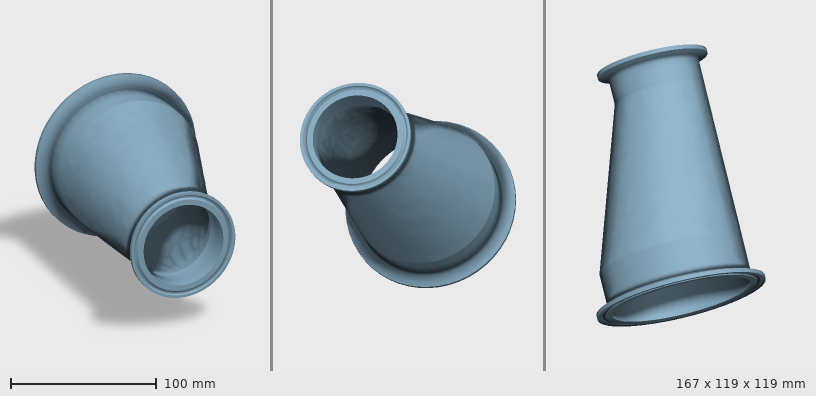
import cadquery as cq
import math

length = 167.0
wall = 2.0

large_tube_radius = 101.5 / 2
large_flange_radius = 119.0 / 2
large_groove_radius = 54.8
large_end_length = 30.0

small_tube_radius = 63.5 / 2
small_flange_radius = 77.5 / 2
small_groove_radius = 35.2
small_end_length = 23.0

small_axis_y = small_tube_radius - large_tube_radius

rim_thickness = 2.8
flange_angle = math.radians(20)
neck_fillet = 2.0
groove_half_width = 1.3
groove_depth = 1.3
groove_lip_fillet = 0.5


def flanged_end(tube_radius, flange_radius, groove_radius, end_length):
    """Flanged tube with its sealing face at X = 0 and its axis on X."""
    bore_radius = tube_radius - wall
    groove_inner = groove_radius - groove_half_width
    groove_outer = groove_radius + groove_half_width

    fillet_sweep = math.pi / 2 - flange_angle
    fillet_start_radius = tube_radius + neck_fillet * (1 - math.cos(fillet_sweep))
    fillet_start_x = rim_thickness + (flange_radius - fillet_start_radius) * math.tan(flange_angle)
    fillet_end_x = fillet_start_x + neck_fillet * math.sin(fillet_sweep)
    fillet_mid_x = fillet_end_x - neck_fillet * math.sin(fillet_sweep / 2)
    fillet_mid_radius = tube_radius + neck_fillet * (1 - math.cos(fillet_sweep / 2))

    profile = (
        cq.Workplane("XY")
        .moveTo(0, bore_radius)
        .lineTo(0, groove_inner)
        .threePointArc((groove_depth, groove_radius), (0, groove_outer))
        .lineTo(0, flange_radius)
        .lineTo(rim_thickness, flange_radius)
        .lineTo(fillet_start_x, fillet_start_radius)
        .threePointArc((fillet_mid_x, fillet_mid_radius), (fillet_end_x, tube_radius))
        .lineTo(end_length, tube_radius)
        .lineTo(end_length, bore_radius)
        .close()
    )
    body = profile.revolve(360, (0, 0, 0), (1, 0, 0))

    lips = [
        edge for edge in body.faces("<X").edges("%CIRCLE").vals()
        if abs(edge.radius() - groove_radius) < 2 * groove_half_width
    ]
    return body.newObject(lips).fillet(groove_lip_fillet)


def oblique_cone(large_radius, small_radius):
    """Solid cone between the inner ends of the two tubes."""
    return (
        cq.Workplane("YZ", origin=(large_end_length, 0, 0))
        .circle(large_radius)
        .workplane(offset=length - large_end_length - small_end_length)
        .center(small_axis_y, 0)
        .circle(small_radius)
        .loft(ruled=True)
    )


large_end = flanged_end(
    large_tube_radius, large_flange_radius, large_groove_radius, large_end_length
)
small_end = (
    flanged_end(small_tube_radius, small_flange_radius, small_groove_radius, small_end_length)
    .rotate((0, 0, 0), (0, 0, 1), 180)
    .translate((length, small_axis_y, 0))
)
cone = oblique_cone(large_tube_radius, small_tube_radius).cut(
    oblique_cone(large_tube_radius - wall, small_tube_radius - wall)
)

result = large_end.union(cone).union(small_end)